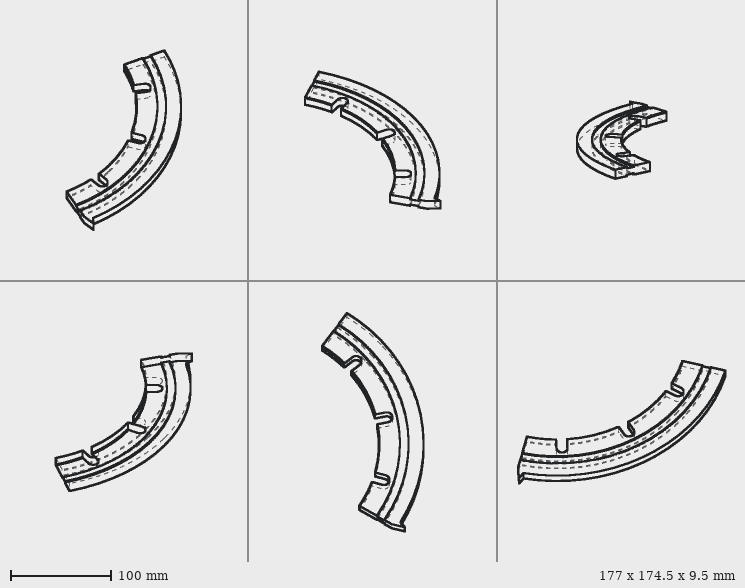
import cadquery as cq
import math

overall_length = 177.0

outer_radius = 174.6
inner_radius = 129.9
sector_angle = 88.0
thickness = 9.5
edge_chamfer = 0.7

groove_inner_radius = 151.0
groove_outer_radius = 159.6
groove_depth = 1.5

slot_width = 11.0
slot_end_centre_radius = 140.8
slot_spacing = 28.6
slot_count = 3

tab_root_x = 168.6
tab_tip_x = inner_radius * math.cos(math.radians(sector_angle)) + overall_length
tab_tip_y = 4.0
tab_shoulder_y = 6.9


def make_sector():
    """Revolve the grooved, chamfered cross-section about the Z axis."""
    half = thickness / 2
    groove_half = half - groove_depth
    upper_profile = [
        (inner_radius, half - edge_chamfer),
        (inner_radius + edge_chamfer, half),
        (groove_inner_radius, half),
        (groove_inner_radius, groove_half),
        (groove_outer_radius, groove_half),
        (groove_outer_radius, half),
        (outer_radius, half),
    ]
    lower_profile = [(radius, -height) for radius, height in reversed(upper_profile)]
    return (
        cq.Workplane("XZ")
        .polyline(upper_profile + lower_profile)
        .close()
        .revolve(sector_angle, (0, 0), (0, 1))
    )


def make_tab():
    """Triangular tab whose inner corner lies inside the outer rim."""
    shoulder_x = math.sqrt(outer_radius**2 - tab_shoulder_y**2)
    return (
        cq.Workplane("XY", origin=(0, 0, -thickness / 2))
        .polyline([
            (tab_root_x, 0),
            (tab_tip_x, tab_tip_y),
            (shoulder_x, tab_shoulder_y),
            (tab_root_x, tab_shoulder_y),
        ])
        .close()
        .extrude(thickness)
    )


def make_corner_trim():
    """Corner of the sector that lies below the sloping edge of the tab."""
    return (
        cq.Workplane("XY", origin=(0, 0, -thickness / 2))
        .polyline([
            (tab_root_x, 0),
            (tab_tip_x, 0),
            (tab_tip_x, tab_tip_y),
        ])
        .close()
        .extrude(thickness)
    )


def make_slot(angle):
    """Radial slot cutter at the given angle from +X."""
    channel = cq.Workplane("XY").box(
        slot_end_centre_radius, slot_width, thickness, centered=(False, True, True)
    )
    round_end = (
        cq.Workplane("XY", origin=(slot_end_centre_radius, 0, -thickness / 2))
        .circle(slot_width / 2)
        .extrude(thickness)
    )
    return channel.union(round_end).rotate((0, 0, 0), (0, 0, 1), angle)


result = make_sector().cut(make_corner_trim()).union(make_tab())
first_slot_angle = sector_angle / 2 - slot_spacing * (slot_count - 1) / 2
for index in range(slot_count):
    result = result.cut(make_slot(first_slot_angle + index * slot_spacing))